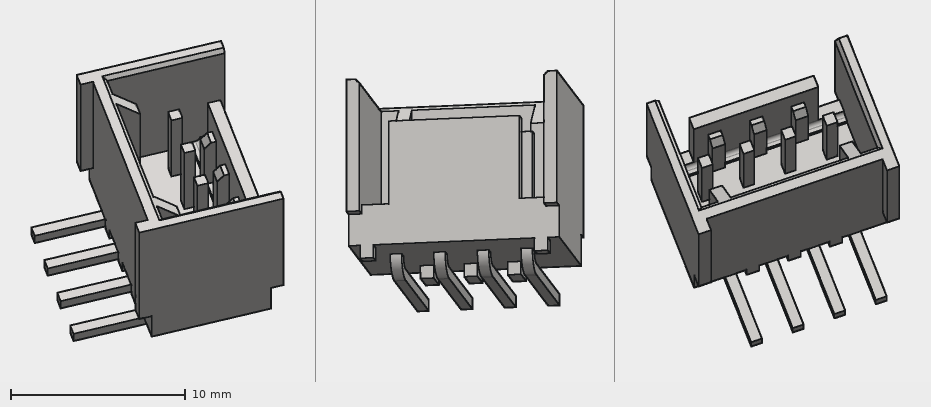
import cadquery as cq


body_width = 12.29
body_depth = 7.18
body_height = 9.66
wall = 0.76
front_wall = 0.86
end_plate_overhang = 0.75
end_plate_bottom = 1.85
floor_top = 1.84
rim_chamfer = 0.23
corner_radius = 0.27

half_width = body_width / 2
half_depth = body_depth / 2
cavity_half_width = half_width - wall
cavity_front = -half_depth + front_wall
cavity_rear = half_depth - wall

rear_wall_top = 7.28
step_depth = 0.54
step_top = floor_top + corner_radius
slot_bottom = step_top + corner_radius

pitch = 2.55
pin_count = 4
pin_size = 0.66
pin_y = 0.87
pin_top = 6.91
pin_front_end = -7.67
bend_inner_radius = 0.6
bend_outer_radius = bend_inner_radius + pin_size
outer_pin_x = pitch * (pin_count - 1) / 2

rib_width = 0.77
front_rib_x = 3.98
front_rib_reach = 1.43
rear_rib_depth = 0.73
rear_rib_top = 5.73
rear_rib_chamfer = 0.42
peg_width = 0.77
peg_height = 0.76
front_peg_depth = 1.73
rear_peg_depth = 0.77


def block(x_range, y_range, z_range):
    """Box spanning the given (low, high) limits."""
    lows, highs = zip(x_range, y_range, z_range)
    size = [high - low for low, high in zip(lows, highs)]
    return cq.Workplane("XY").box(*size, centered=False).translate(lows)


def centred(x, width):
    """Limits of a span of the given width centred on x."""
    return x - width / 2, x + width / 2


def side_profile(start):
    """Begin an outline in the YZ plane at the given (y, z) point."""
    return cq.Workplane("YZ").moveTo(*start)


def make_shell():
    """Core block and end plates, hollowed from above, with the rear wall lowered."""
    width_range = (-half_width, half_width)
    plate_half_depth = half_depth + end_plate_overhang
    shell = block(width_range, (-half_depth, half_depth), (0, body_height))
    for side in (-1, 1):
        plate_x = side * (half_width - wall / 2)
        shell = shell.union(
            block(
                centred(plate_x, wall),
                (-plate_half_depth, plate_half_depth),
                (end_plate_bottom, body_height),
            )
        )

    cavity_x = (-cavity_half_width, cavity_half_width)
    cavity = block(cavity_x, (cavity_front, cavity_rear), (floor_top, body_height))
    cavity = cavity.edges("|X and <Y and <Z").fillet(corner_radius)
    above_rear_wall = block(cavity_x, (0, plate_half_depth), (rear_wall_top, body_height))
    return shell.cut(cavity).cut(above_rear_wall)


def make_rim_chamfer():
    """Tapered cutter that bevels the rim of the front wall and both end plates."""
    rim_rear = half_depth + end_plate_overhang + rim_chamfer
    rim_depth = rim_rear - cavity_front
    return (
        cq.Workplane("XY", origin=(0, cavity_front + rim_depth / 2, body_height - rim_chamfer))
        .rect(2 * cavity_half_width, rim_depth)
        .workplane(offset=rim_chamfer)
        .rect(2 * (cavity_half_width + rim_chamfer), rim_depth + 2 * rim_chamfer)
        .loft(ruled=True)
    )


def make_rear_step():
    """Low step along the foot of the rear wall, blended into the wall."""
    step_front = cavity_rear - step_depth
    return (
        side_profile((step_front, 0))
        .lineTo(step_front, step_top)
        .lineTo(cavity_rear - corner_radius, step_top)
        .radiusArc((cavity_rear, slot_bottom), -corner_radius)
        .lineTo(cavity_rear, 0)
        .close()
        .extrude(cavity_half_width, both=True)
    )


def make_rear_slot(side):
    """Slot through the rear wall between its middle part and an end plate."""
    slot_x = sorted((side * outer_pin_x, side * cavity_half_width))
    return block(slot_x, (cavity_rear, half_depth), (slot_bottom, rear_wall_top))


def make_front_rib(x):
    """Gusset inside the front wall, its 45 degree top in line with the rim bevel."""
    rib_rear = cavity_front + front_rib_reach
    bevel_foot = body_height - rim_chamfer
    return (
        side_profile((cavity_front, 0))
        .lineTo(rib_rear, 0)
        .lineTo(rib_rear, bevel_foot - front_rib_reach)
        .lineTo(cavity_front, bevel_foot)
        .close()
        .extrude(rib_width / 2, both=True)
        .translate((x, 0, 0))
    )


def make_rear_rib(x):
    """Rib on the rear wall with a bevelled upper edge."""
    rib = block(centred(x, rib_width), (cavity_rear - rear_rib_depth, cavity_rear), (0, rear_rib_top))
    return rib.edges("|X and <Y and >Z").chamfer(rear_rib_chamfer)


def make_pin(x):
    """Square pin that leaves the underside and bends forward through 90 degrees."""
    rear_face = pin_y + pin_size / 2
    front_face = pin_y - pin_size / 2
    bend_y = front_face - bend_inner_radius
    return (
        side_profile((rear_face, pin_top))
        .lineTo(rear_face, 0)
        .radiusArc((bend_y, -bend_outer_radius), bend_outer_radius)
        .lineTo(pin_front_end, -bend_outer_radius)
        .lineTo(pin_front_end, -bend_inner_radius)
        .lineTo(bend_y, -bend_inner_radius)
        .radiusArc((front_face, 0), -bend_inner_radius)
        .lineTo(front_face, pin_top)
        .close()
        .extrude(pin_size / 2, both=True)
        .translate((x, 0, 0))
    )


result = make_shell().cut(make_rim_chamfer()).union(make_rear_step())

rear_peg_y = (half_depth - rear_peg_depth, half_depth)
rear_peg_x = pitch * pin_count / 2
for side in (-1, 1):
    result = result.cut(make_rear_slot(side))
    result = result.union(make_front_rib(side * front_rib_x))
    result = result.union(block(centred(side * rear_peg_x, peg_width), rear_peg_y, (-peg_height, 0)))

front_peg_y = (-half_depth, -half_depth + front_peg_depth)
for gap in range(pin_count - 1):
    gap_x = -outer_pin_x + (gap + 0.5) * pitch
    result = result.union(make_rear_rib(gap_x))
    result = result.union(block(centred(gap_x, peg_width), front_peg_y, (-peg_height, 0)))

for index in range(pin_count):
    result = result.union(make_pin(-outer_pin_x + index * pitch))